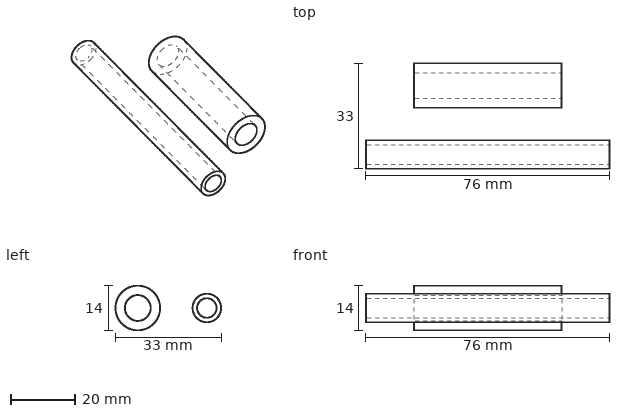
import cadquery as cq

slender_length = 76.0
slender_outer_diameter = 9.0
slender_bore_diameter = 6.0

thick_length = 46.0
thick_outer_diameter = 14.0
thick_bore_diameter = 8.0

axis_spacing = 21.5


def make_tube(length, outer_diameter, bore_diameter, axis_y):
    """Tube along X with a through bore, its middle at X = 0 and its axis at Y = axis_y."""
    return (
        cq.Workplane("YZ", origin=(-length / 2, axis_y, 0))
        .circle(outer_diameter / 2)
        .circle(bore_diameter / 2)
        .extrude(length)
    )


slender_tube = make_tube(slender_length, slender_outer_diameter, slender_bore_diameter, 0)
thick_tube = make_tube(thick_length, thick_outer_diameter, thick_bore_diameter, axis_spacing)

result = cq.Compound.makeCompound([slender_tube.val(), thick_tube.val()])